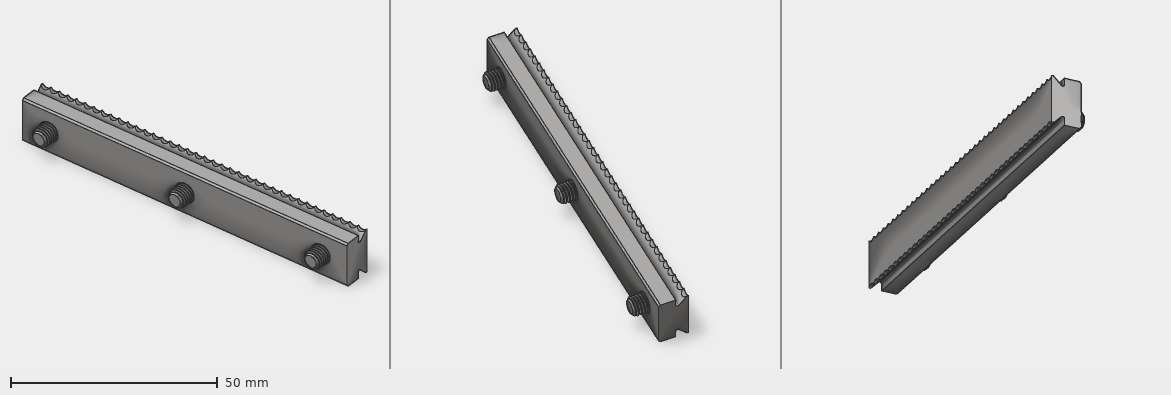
import cadquery as cq
import math

bar_length = 98.8
bar_depth = 8.0
bar_height = 12.7
half_height = bar_height / 2
front_chamfer = 0.5

back_lip = 0.5
groove_wall = 3.5
groove_nose_radius = 0.5

scallop_count = 38
scallop_pitch = bar_length / scallop_count
scallop_depth = 0.64
scallop_radius = 1.6

screw_spacing = 41.4
screw_positions = [-screw_spacing, 0, screw_spacing]
screw_diameter = 5.0
screw_radius = screw_diameter / 2
screw_projection = 4.0
screw_engagement = 5.9
screw_tip_chamfer = 0.8

countersink_diameter = 5.7
countersink_depth = (countersink_diameter - screw_diameter) / 2

thread_pitch = 0.8
thread_depth = 0.61 * thread_pitch
thread_crest = thread_pitch / 8
thread_root = thread_pitch / 4
thread_relief = 0.05
thread_phase = 0.41
thread_start = thread_phase - thread_pitch / 2
thread_length = screw_projection - thread_start + thread_pitch
rod_excess = 3 * thread_pitch


def dovetail_groove():
    """Upper groove: straight wall, rounded bottom and 45 degree flank."""
    wall_y = bar_depth - groove_wall
    lip_y = bar_depth - back_lip
    groove_depth = lip_y - wall_y - groove_nose_radius * math.sqrt(2)
    nose_y = wall_y + groove_nose_radius
    nose_z = half_height - groove_depth + groove_nose_radius
    flank_y = nose_y + groove_nose_radius * math.sin(math.pi / 4)
    flank_z = nose_z - groove_nose_radius * math.cos(math.pi / 4)
    return (
        cq.Workplane("YZ")
        .moveTo(wall_y, half_height)
        .lineTo(wall_y, nose_z)
        .threePointArc((nose_y, nose_z - groove_nose_radius), (flank_y, flank_z))
        .lineTo(lip_y, half_height)
        .close()
        .extrude(bar_length / 2, both=True)
    )


def scallops():
    """Row of round-bottomed cutters along the upper back edge, running along Y."""
    half_width = math.sqrt(scallop_radius ** 2 - (scallop_radius - scallop_depth) ** 2)
    bottom_z = half_height - scallop_depth
    back_plane = cq.Workplane("XZ", origin=(0, bar_depth, 0))
    cutters = []
    for i in range(scallop_count):
        x = (i + 0.5) * scallop_pitch - bar_length / 2
        profile = (
            back_plane
            .moveTo(x - half_width, half_height)
            .threePointArc((x, bottom_z), (x + half_width, half_height))
            .close()
        )
        cutters.append(profile.extrude(groove_wall).val())
    return cq.Workplane(cq.Compound.makeCompound(cutters))


def screw_hole(x):
    """Blind hole in the front face, with its countersink."""
    hole = cq.Workplane("XZ").center(x, 0).circle(screw_radius).extrude(-screw_engagement)
    countersink = cq.Solid.makeCone(
        countersink_diameter / 2,
        screw_radius,
        countersink_depth,
        pnt=cq.Vector(x, 0, 0),
        dir=cq.Vector(0, 1, 0),
    )
    return hole.union(cq.Workplane(countersink))


def make_bar():
    bar = (
        cq.Workplane("XY")
        .box(bar_length, bar_depth, bar_height, centered=(True, False, True))
        .faces("<Y")
        .edges("|X")
        .chamfer(front_chamfer)
    )
    for upper_cutter in (dovetail_groove(), scallops()):
        bar = bar.cut(upper_cutter).cut(upper_cutter.mirror("XY"))
    for x in screw_positions:
        bar = bar.cut(screw_hole(x))
    return bar


def thread_groove():
    """Helical cutter around the Z axis, with flanks that widen outwards past the screw surface."""
    root_radius = screw_radius - thread_depth
    outer_radius = screw_radius + thread_relief
    root_half = thread_root / 2
    surface_half = (thread_pitch - thread_crest) / 2
    flank_slope = (surface_half - root_half) / thread_depth
    outer_half = surface_half + flank_slope * thread_relief
    profile = cq.Wire.makePolygon(
        [
            cq.Vector(root_radius, 0, thread_start - root_half),
            cq.Vector(outer_radius, 0, thread_start - outer_half),
            cq.Vector(outer_radius, 0, thread_start + outer_half),
            cq.Vector(root_radius, 0, thread_start + root_half),
        ],
        close=True,
    )
    helix = cq.Wire.makeHelix(thread_pitch, thread_length, root_radius, cq.Vector(0, 0, thread_start))
    return cq.Workplane(cq.Solid.sweep(profile, [], helix, makeSolid=True, isFrenet=True))


def screw_blank(projection):
    """Plain cylinder along Z that stands the given length above the bar face at Z = 0."""
    return (
        cq.Workplane("XY", origin=(0, 0, -screw_engagement))
        .circle(screw_radius)
        .extrude(screw_engagement + projection)
    )


def make_screw(x):
    """Screw cut along Z, then turned to point along -Y."""
    long_rod = screw_blank(screw_projection + rod_excess)
    outline = screw_blank(screw_projection).faces(">Z").chamfer(screw_tip_chamfer)
    screw = long_rod.cut(thread_groove()).intersect(outline)
    return screw.rotate((0, 0, 0), (1, 0, 0), 90).translate((x, 0, 0))


bar = make_bar()
screws = [make_screw(x) for x in screw_positions]

result = cq.Compound.makeCompound([bar.solids().val(), *[screw.solids().val() for screw in screws]])